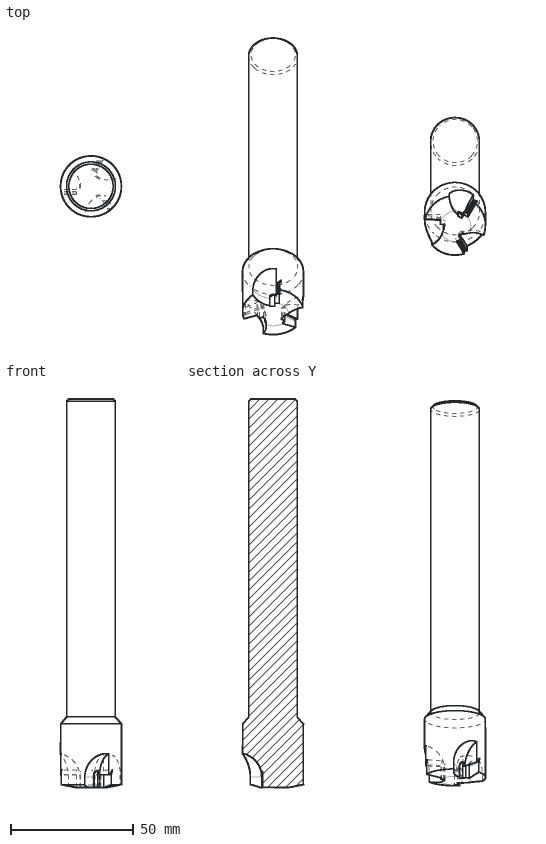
import cadquery as cq

total_length = 158.9
head_diameter = 25.0
shank_diameter = 20.0
shoulder_base_height = 26.0
shoulder_height = 2.9
shank_chamfer = 1.0
end_face_radius = 6.4
end_cone_height = 1.3

flute_count = 3
flute_radius = 9.7
flute_axis_distance = 14.3
flute_ball_height = 4.5
flute_wall_y = -1.3
ledge_y = -0.6

clearance_inner_distance = 4.3
clearance_far_y = 1.3
clearance_height = 6.7
clearance_bevel = 1.0

seat_inner_distance = 6.0
seat_face_y = -2.5
seat_height = 5.2
seat_edge_y = -1.9
seat_edge_height = 5.5
relief_tip_y = -3.2
relief_tip_height = 7.3

head_radius = head_diameter / 2
shank_radius = shank_diameter / 2
cut_outer_distance = flute_axis_distance + flute_radius


def turned_body():
    """Revolve the shank, shoulder and shallow conical cutting end."""
    profile = (
        cq.Workplane("XZ")
        .lineTo(end_face_radius, 0)
        .lineTo(head_radius, end_cone_height)
        .lineTo(head_radius, shoulder_base_height)
        .lineTo(shank_radius, shoulder_base_height + shoulder_height)
        .lineTo(shank_radius, total_length - shank_chamfer)
        .lineTo(shank_radius - shank_chamfer, total_length)
        .lineTo(0, total_length)
        .close()
    )
    return profile.revolve(360, (0, 0, 0), (0, 1, 0))


def radial_prism(points, inner_distance):
    """Extrude a YZ outline outward along -X from the given inner distance."""
    depth = cut_outer_distance - inner_distance
    return cq.Workplane("YZ", origin=(-inner_distance, 0, 0)).polyline(points).close().extrude(-depth)


def ball_ended_flute():
    """Vertical round-ended pocket, trimmed along the flute wall and ledge."""
    center = (-flute_axis_distance, 0, flute_ball_height)
    stem = cq.Workplane("XY").center(-flute_axis_distance, 0).circle(flute_radius).extrude(flute_ball_height)
    ball = cq.Workplane("XY").sphere(flute_radius).translate(center)
    top = flute_ball_height + flute_radius
    kept_side = radial_prism(
        [
            (ledge_y, 0),
            (flute_radius, 0),
            (flute_radius, top),
            (flute_wall_y, top),
            (flute_wall_y, seat_height),
            (ledge_y, seat_height),
        ],
        0,
    )
    return stem.union(ball).intersect(kept_side)


def clearance_step():
    """Shallow step behind the flute, bevelled at its upper far corner."""
    return radial_prism(
        [
            (ledge_y, 0),
            (clearance_far_y, 0),
            (clearance_far_y, clearance_height - clearance_bevel),
            (clearance_far_y - clearance_bevel, clearance_height),
            (ledge_y, clearance_height),
        ],
        clearance_inner_distance,
    )


def insert_seat():
    """Flat insert seat with a slanted relief notch above it."""
    return radial_prism(
        [
            (ledge_y, 0),
            (ledge_y, seat_height),
            (flute_wall_y, seat_height),
            (seat_edge_y, seat_edge_height),
            (relief_tip_y, relief_tip_height),
            (seat_face_y, seat_height),
            (seat_face_y, 0),
        ],
        seat_inner_distance,
    )


flute_cut = ball_ended_flute().union(clearance_step()).union(insert_seat())

result = turned_body()
for index in range(flute_count):
    angle = index * 360 / flute_count
    result = result.cut(flute_cut.rotate((0, 0, 0), (0, 0, 1), angle))